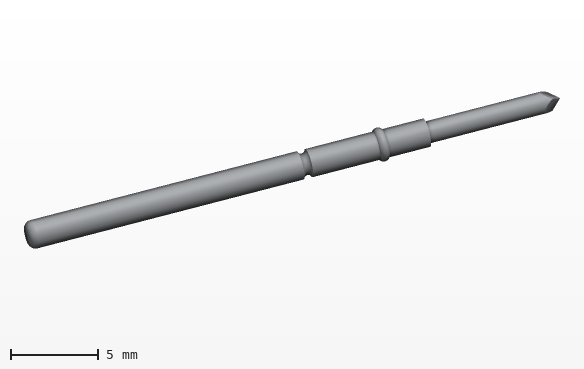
import cadquery as cq
import math

TOTAL_LENGTH = 32.0
TIP_Y = TOTAL_LENGTH / 2
REAR_Y = -TOTAL_LENGTH / 2

PLUNGER_RADIUS = 0.65
PLUNGER_LENGTH = 8.0

BARREL_RADIUS = 0.83
REAR_ROUND_RADIUS = 0.45

RING_RADIUS = 1.0
RING_WIDTH = 0.58
RING_FROM_TIP = 10.75

GROOVE_DEPTH = 0.2
GROOVE_WIDTH = 0.5
GROOVE_FROM_TIP = 15.33

POINT_FACETS = 3
POINT_HALF_ANGLE = 30.0


def make_turned_pin():
    """Revolve the half outline (radius along X, length along Y) about the Y axis."""
    shoulder_y = TIP_Y - PLUNGER_LENGTH
    ring_y = TIP_Y - RING_FROM_TIP
    groove_y = TIP_Y - GROOVE_FROM_TIP
    round_centre_x = BARREL_RADIUS - REAR_ROUND_RADIUS
    round_centre_y = REAR_Y + REAR_ROUND_RADIUS
    round_middle = REAR_ROUND_RADIUS * math.sqrt(0.5)
    outline = (
        cq.Workplane("XY")
        .moveTo(0, TIP_Y)
        .lineTo(PLUNGER_RADIUS, TIP_Y)
        .lineTo(PLUNGER_RADIUS, shoulder_y)
        .lineTo(BARREL_RADIUS, shoulder_y)
        .lineTo(BARREL_RADIUS, ring_y + RING_WIDTH / 2)
        .threePointArc((RING_RADIUS, ring_y), (BARREL_RADIUS, ring_y - RING_WIDTH / 2))
        .lineTo(BARREL_RADIUS, groove_y + GROOVE_WIDTH / 2)
        .threePointArc(
            (BARREL_RADIUS - GROOVE_DEPTH, groove_y),
            (BARREL_RADIUS, groove_y - GROOVE_WIDTH / 2),
        )
        .lineTo(BARREL_RADIUS, round_centre_y)
        .threePointArc(
            (round_centre_x + round_middle, round_centre_y - round_middle),
            (round_centre_x, REAR_Y),
        )
        .lineTo(0, REAR_Y)
        .close()
    )
    return outline.revolve(360, (0, 0, 0), (0, 1, 0))


def cut_point(pin):
    """Cut the facets that meet at the tip; the first one faces +X."""
    facet_reach = 2 * PLUNGER_RADIUS
    facet_drop = facet_reach / math.tan(math.radians(POINT_HALF_ANGLE))
    cutter = (
        cq.Workplane("XY")
        .moveTo(0, TIP_Y)
        .lineTo(facet_reach, TIP_Y)
        .lineTo(facet_reach, TIP_Y - facet_drop)
        .close()
        .extrude(facet_reach, both=True)
    )
    for facet in range(POINT_FACETS):
        angle = facet * 360 / POINT_FACETS
        pin = pin.cut(cutter.rotate((0, 0, 0), (0, 1, 0), angle))
    return pin


result = cut_point(make_turned_pin())